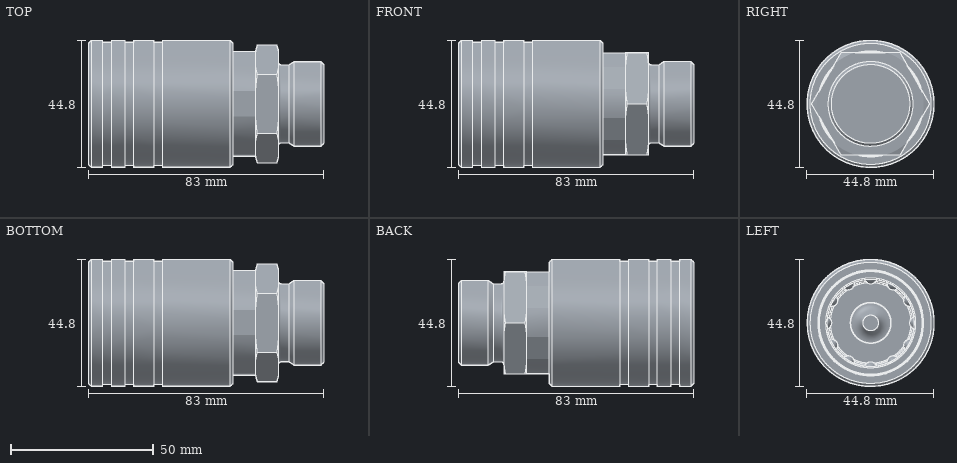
import cadquery as cq
import math

total_length = 83.0

sleeve_radius = 22.4
sleeve_bore_radius = 18.6
sleeve_length = 51.05
sleeve_chamfer = 1.1
groove_depth = 0.7
groove_spans = [(5.1, 8.1), (12.95, 15.9), (23.1, 26.1)]

barrel_radius = 18.35
barrel_chamfer = 0.25
neck_radius = 18.5
neck_across_flats = 35.9
nut_across_flats = 36.0
nut_start = 58.9
nut_end = 67.0
nut_chamfer_length = 0.6
nut_chamfer_depth = 2.0
relief_radius = 13.8
relief_end = 70.6
relief_fillet = 0.9
thread_radius = 14.9
thread_start = 72.5
thread_end_chamfer = 1.1

mouth_chamfer = 0.5
bore_radius = 15.35
bore_depth = 13.3
throat_radius = 14.7
throat_start = bore_depth + bore_radius - throat_radius
seal_section_radius = 1.2
seal_inner_radius = 14.2
seal_center_radius = seal_inner_radius + seal_section_radius
seal_groove_start = 14.5
seal_groove_width = 2.8
floor_depth = 29.9

ball_count = 12
ball_radius = 2.2
ball_reach_radius = 13.7
ball_station = 6.9

pin_tip_radius = 2.7
pin_foot_radius = 7.2
pin_foot_chamfer = 0.2
pin_foot_thickness = 0.4
pin_straight_length = 0.8

hexagon_half_side_angle = math.radians(30)
quarter_arc_middle = math.radians(45)


def revolve_profile(profile):
    """Close a profile of (X, radius) points and turn it about the X axis."""
    return profile.close().revolve(360, (0, 0, 0), (1, 0, 0))


def cylinder(start, end, radius):
    return cq.Workplane("YZ", origin=(start, 0, 0)).circle(radius).extrude(end - start)


def across_corners(across_flats):
    return across_flats / math.cos(hexagon_half_side_angle)


def hexagon(start, end, across_flats):
    """Hexagonal bar with flats on the +Z and -Z sides."""
    outline = cq.Workplane("YZ", origin=(start, 0, 0)).polygon(6, across_corners(across_flats))
    return outline.extrude(end - start)


def make_sleeve():
    """Chamfered tube with shallow grooves around the outside."""
    tube = cylinder(0, sleeve_length, sleeve_radius).faces("<X or >X").chamfer(sleeve_chamfer)
    for start, end in groove_spans:
        ring = cylinder(start, end, sleeve_radius)
        tube = tube.cut(ring.cut(cylinder(start, end, sleeve_radius - groove_depth)))
    return tube.cut(cylinder(0, sleeve_length, sleeve_bore_radius))


def make_nut():
    """Hexagon nut with its corners turned off at both ends."""
    blank = cylinder(nut_start, nut_end, across_corners(nut_across_flats) / 2)
    blank = blank.faces("<X").chamfer(nut_chamfer_length, nut_chamfer_depth)
    blank = blank.faces(">X").chamfer(nut_chamfer_length, nut_chamfer_depth)
    return hexagon(nut_start, nut_end, nut_across_flats).intersect(blank)


def make_thread_end():
    """Solid end spigot: filleted relief, cone up to the thread diameter, chamfered end."""
    fillet_middle = relief_fillet * (1 - math.cos(quarter_arc_middle))
    profile = (
        cq.Workplane("XY")
        .moveTo(nut_end, 0)
        .lineTo(nut_end, relief_radius + relief_fillet)
        .threePointArc(
            (nut_end + fillet_middle, relief_radius + fillet_middle),
            (nut_end + relief_fillet, relief_radius),
        )
        .lineTo(relief_end, relief_radius)
        .lineTo(thread_start, thread_radius)
        .lineTo(total_length - thread_end_chamfer, thread_radius)
        .lineTo(total_length, thread_radius - thread_end_chamfer)
        .lineTo(total_length, 0)
    )
    return revolve_profile(profile)


def make_cavity():
    """Bore stepping down to a throat, where a half-round seal bead stands in a groove."""
    groove_end = seal_groove_start + seal_groove_width
    bead_middle = (seal_groove_start + groove_end) / 2
    profile = (
        cq.Workplane("XY")
        .moveTo(0, 0)
        .lineTo(0, bore_radius + mouth_chamfer)
        .lineTo(mouth_chamfer, bore_radius)
        .lineTo(bore_depth, bore_radius)
        .lineTo(throat_start, throat_radius)
        .lineTo(seal_groove_start, throat_radius)
        .lineTo(seal_groove_start, seal_center_radius)
        .lineTo(bead_middle - seal_section_radius, seal_center_radius)
        .threePointArc(
            (bead_middle, seal_inner_radius),
            (bead_middle + seal_section_radius, seal_center_radius),
        )
        .lineTo(groove_end, seal_center_radius)
        .lineTo(groove_end, throat_radius)
        .lineTo(floor_depth, throat_radius)
        .lineTo(floor_depth, 0)
    )
    return revolve_profile(profile)


def add_balls(housing):
    """Locking balls bulging from the bore wall."""
    center_radius = ball_reach_radius + ball_radius
    for index in range(ball_count):
        ball = cq.Workplane("XY").sphere(ball_radius).translate((ball_station, 0, center_radius))
        housing = housing.union(ball.rotate((0, 0, 0), (1, 0, 0), index * 360 / ball_count))
    return housing


def make_housing():
    """Barrel, flatted neck, nut and thread end in one piece, bored from the barrel end."""
    barrel = cylinder(0, sleeve_length, barrel_radius).faces("<X").chamfer(barrel_chamfer)
    neck_hexagon = hexagon(sleeve_length, nut_start, neck_across_flats)
    neck = cylinder(sleeve_length, nut_start, neck_radius).intersect(neck_hexagon)
    outside = barrel.union(neck).union(make_nut()).union(make_thread_end())
    return add_balls(outside.cut(make_cavity()))


def make_pin():
    """Trumpet-shaped pin: straight tip, hollow flare and a thin chamfered foot."""
    flare_outer_radius = pin_foot_radius - pin_foot_chamfer
    flare_radius = flare_outer_radius - pin_tip_radius
    foot_face = floor_depth - pin_foot_thickness
    flare_start = foot_face - flare_radius
    tip_end = flare_start - pin_straight_length
    flare_middle = flare_radius * math.cos(quarter_arc_middle)
    profile = (
        cq.Workplane("XY")
        .moveTo(tip_end, 0)
        .lineTo(tip_end, pin_tip_radius)
        .lineTo(flare_start, pin_tip_radius)
        .threePointArc(
            (flare_start + flare_middle, flare_outer_radius - flare_middle),
            (foot_face, flare_outer_radius),
        )
        .lineTo(foot_face + pin_foot_chamfer, pin_foot_radius)
        .lineTo(floor_depth, pin_foot_radius)
        .lineTo(floor_depth, 0)
    )
    return revolve_profile(profile)


sleeve = make_sleeve()
housing = make_housing()
pin = make_pin()

result = cq.Compound.makeCompound([sleeve.val(), housing.val(), pin.val()])